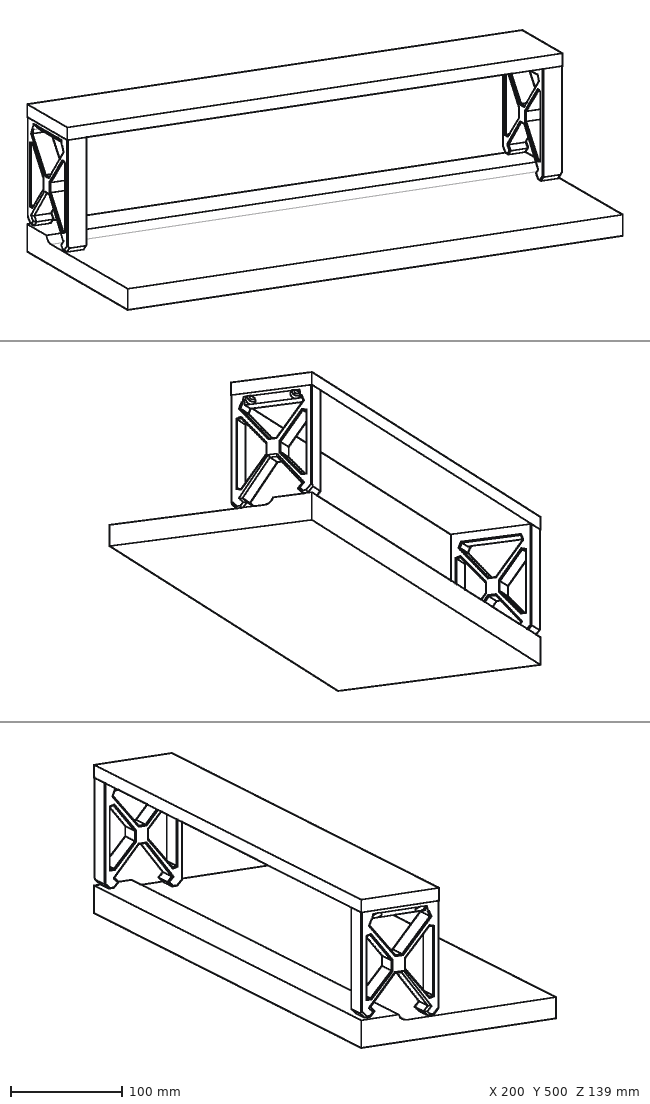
import cadquery as cq
import math

LENGTH = 500.0
BASE_WIDTH = 200.0
TOTAL_HEIGHT = 139.0

BASE_HEIGHT = 20.0
STEP_HEIGHT = 6.0
LEDGE_WIDTH = 38.5
COVE_RADIUS = 9.0

SHELF_WIDTH = 80.0
SHELF_THICKNESS = 12.0

BRACKET_DEPTH = 20.0
LEG = 6.0
EDGE_CHAMFER = 1.0
UNDERSIDE_CHAMFER = 2.0

LEFT_FOOT_GAP = 1.0
FOOT_WIDTH = 15.0
FOOT_RISE = 5.0
HOOK_OFFSET = 4.5

HUB_LEFT = 31.5
HUB_RIGHT = 45.5
HUB_TOP = 82.0
HUB_BOTTOM = 64.5
HUB_SIDE_TOP = 77.5
HUB_SIDE_BOTTOM = 68.0
HUB_FLAT_LEFT = 35.5
HUB_FLAT_RIGHT = 42.5

TOP_WINDOW_INSET = 11.0
TOP_WINDOW_NOTCH = 9.0
TOP_WINDOW_CORNER = 113.5
SIDE_WINDOW_TOP = 104.5
SIDE_WINDOW_CORNER = 3.5
SIDE_WINDOW_DROP = 1.0
LEFT_WINDOW_BOTTOM = 45.0
LEFT_WINDOW_FLOOR = 4.0
RIGHT_WINDOW_BOTTOM = 38.0

BAR_THICKNESS = 9.0
BAR_BEVEL = 6.0
BEVEL_INSET = 12.5
SCREW_DIAMETER = 4.5
SCREW_HEAD_DIAMETER = 9.0
SCREW_HEAD_DEPTH = 5.0
SCREW_OVERRUN = 5.0
SCREW_INSET = 18.0

ENDS = ("<Y", ">Y")
TOLERANCE = 0.05

LEDGE_TOP = BASE_HEIGHT + STEP_HEIGHT
SHELF_BOTTOM = TOTAL_HEIGHT - SHELF_THICKNESS
BAR_BOTTOM = SHELF_BOTTOM - BAR_THICKNESS
OUTER_Y = -LENGTH / 2
MID_X = SHELF_WIDTH / 2


def prism(points, y_start, depth):
    """Solid with an XZ outline, running from y_start towards +Y."""
    return cq.Workplane("XZ", origin=(0, y_start, 0)).polyline(points).close().extrude(-depth)


def make_base():
    """Plate with a raised ledge that falls to the plate in a hollow arc."""
    cove_run = math.sqrt(COVE_RADIUS**2 - (COVE_RADIUS - STEP_HEIGHT) ** 2)
    profile = (
        cq.Workplane("XZ", origin=(0, OUTER_Y, 0))
        .lineTo(BASE_WIDTH, 0)
        .lineTo(BASE_WIDTH, BASE_HEIGHT)
        .lineTo(LEDGE_WIDTH + cove_run, BASE_HEIGHT)
        .radiusArc((LEDGE_WIDTH, LEDGE_TOP), COVE_RADIUS)
        .lineTo(0, LEDGE_TOP)
        .close()
    )
    return profile.extrude(-LENGTH)


def make_shelf():
    return cq.Workplane("XY").box(SHELF_WIDTH, LENGTH, SHELF_THICKNESS).translate(
        (MID_X, 0, SHELF_BOTTOM + SHELF_THICKNESS / 2)
    )


def foot_points(floor):
    """Left foot from its outer corner to the inner corner of its hook."""
    tip = floor + FOOT_RISE
    return [
        (0, tip),
        (FOOT_RISE, floor),
        (FOOT_WIDTH - FOOT_RISE, floor),
        (FOOT_WIDTH, tip),
        (FOOT_WIDTH - HOOK_OFFSET, tip + HOOK_OFFSET),
    ]


def bracket_outline():
    left_foot = foot_points(LEDGE_TOP + LEFT_FOOT_GAP)
    right_foot = [(SHELF_WIDTH - x, z) for x, z in reversed(foot_points(BASE_HEIGHT))]
    hub_underside = [(HUB_FLAT_LEFT, HUB_BOTTOM), (HUB_FLAT_RIGHT, HUB_BOTTOM)]
    top = [(SHELF_WIDTH, SHELF_BOTTOM), (0, SHELF_BOTTOM)]
    return left_foot + hub_underside + right_foot + top


def top_window():
    right = SHELF_WIDTH
    return [
        (TOP_WINDOW_INSET, BAR_BOTTOM),
        (TOP_WINDOW_NOTCH, TOP_WINDOW_CORNER),
        (HUB_FLAT_LEFT, HUB_TOP),
        (HUB_FLAT_RIGHT, HUB_TOP),
        (right - TOP_WINDOW_NOTCH, TOP_WINDOW_CORNER),
        (right - TOP_WINDOW_INSET, BAR_BOTTOM),
    ]


def left_window():
    return [
        (LEG, LEFT_WINDOW_BOTTOM),
        (LEG + LEFT_WINDOW_FLOOR, LEFT_WINDOW_BOTTOM),
        (HUB_LEFT, HUB_SIDE_BOTTOM),
        (HUB_LEFT, HUB_SIDE_TOP),
        (LEG + SIDE_WINDOW_CORNER, SIDE_WINDOW_TOP),
        (LEG, SIDE_WINDOW_TOP - SIDE_WINDOW_DROP),
    ]


def right_window():
    side = SHELF_WIDTH - LEG
    return [
        (side, RIGHT_WINDOW_BOTTOM + SIDE_WINDOW_DROP),
        (side, SIDE_WINDOW_TOP - SIDE_WINDOW_DROP),
        (side - SIDE_WINDOW_CORNER, SIDE_WINDOW_TOP),
        (HUB_RIGHT, HUB_SIDE_TOP),
        (HUB_RIGHT, HUB_SIDE_BOTTOM),
        (side - SIDE_WINDOW_CORNER, RIGHT_WINDOW_BOTTOM),
    ]


def end_edges(body, end, wanted):
    """Edges around one flat Y end of the bracket whose middle point is wanted."""
    edges = body.faces(end).edges().vals()
    return body.newObject([edge for edge in edges if wanted(edge.Center())])


def is_on_leg(point):
    return min(point.x, SHELF_WIDTH - point.x) < TOLERANCE


def is_underside(point):
    return point.z < SHELF_BOTTOM - TOLERANCE and not is_on_leg(point)


def bar_bevel():
    """Wedge that slopes the outer lower edge of the top bar at 45 degrees."""
    bevel_top = BAR_BOTTOM + BAR_BEVEL
    sides = prism(
        [
            (TOP_WINDOW_INSET, BAR_BOTTOM),
            (SHELF_WIDTH - TOP_WINDOW_INSET, BAR_BOTTOM),
            (SHELF_WIDTH - BEVEL_INSET, bevel_top),
            (BEVEL_INSET, bevel_top),
        ],
        OUTER_Y,
        BAR_BEVEL,
    )
    slope = (
        cq.Workplane("YZ")
        .polyline([(OUTER_Y, BAR_BOTTOM), (OUTER_Y + BAR_BEVEL, BAR_BOTTOM), (OUTER_Y, bevel_top)])
        .close()
        .extrude(SHELF_WIDTH)
    )
    return sides.intersect(slope)


def screw_hole(x):
    """Counterbored hole square to the bevel, reaching the top of the bracket."""
    inward = cq.Vector(0, 1, 1).normalized()
    mouth = cq.Vector(x, OUTER_Y + BAR_BEVEL / 2, BAR_BOTTOM + BAR_BEVEL / 2)
    start = mouth - inward * SCREW_OVERRUN
    depth = (SHELF_BOTTOM - mouth.z) * math.sqrt(2) + SCREW_DIAMETER / 2
    shank = cq.Solid.makeCylinder(SCREW_DIAMETER / 2, depth + SCREW_OVERRUN, start, inward)
    head = cq.Solid.makeCylinder(SCREW_HEAD_DIAMETER / 2, SCREW_HEAD_DEPTH + SCREW_OVERRUN, start, inward)
    return shank.fuse(head)


def cut_windows(body):
    """Open the three windows and chamfer their rims at both ends."""
    for outline in (left_window(), right_window(), top_window()):
        body = body.cut(prism(outline, OUTER_Y, BRACKET_DEPTH))
    for end in ENDS:
        rims = body.faces(end).val().innerWires()
        body = body.newObject([edge for rim in rims for edge in rim.Edges()]).chamfer(EDGE_CHAMFER)
    return body


def make_bracket():
    """Bracket at the -Y end."""
    body = prism(bracket_outline(), OUTER_Y, BRACKET_DEPTH)
    body = end_edges(body, "<Y", is_underside).chamfer(UNDERSIDE_CHAMFER)
    body = end_edges(body, ">Y", is_underside).chamfer(EDGE_CHAMFER)
    for end in ENDS:
        body = end_edges(body, end, is_on_leg).chamfer(EDGE_CHAMFER)
    body = cut_windows(body).cut(bar_bevel())
    for x in (SCREW_INSET, SHELF_WIDTH - SCREW_INSET):
        body = body.cut(screw_hole(x))
    return body


base = make_base()
shelf = make_shelf()
front_bracket = make_bracket()
rear_bracket = front_bracket.mirror("XZ")
result = cq.Compound.makeCompound([base.val(), shelf.val(), front_bracket.val(), rear_bracket.val()])